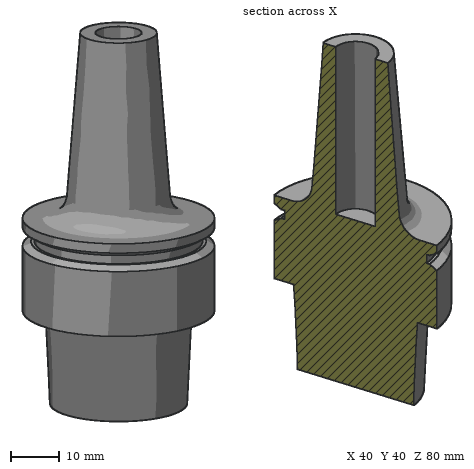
import cadquery as cq
import math

total_height = 80.0
shank_height = 20.0
flange_top_z = 40.0

groove_center_z = 36.0
groove_width = 2.0
mouth_width = 4.0
groove_bottom_z = groove_center_z - groove_width / 2
groove_top_z = groove_center_z + groove_width / 2
collar_edge_z = groove_center_z - mouth_width / 2
flange_edge_z = groove_center_z + mouth_width / 2

shank_bottom_radius = 14.3
shank_top_radius = 15.3
flange_radius = 20.0
groove_radius = 17.5
mouth_inner_radius = 18.2
nose_tip_radius = 8.0
bore_radius = 4.8

bore_depth = 40.0

nose_lean = math.radians(4.5)
blend_radius = 5.0
blend_center_z = flange_top_z + blend_radius
nose_base_z = blend_center_z - blend_radius * math.sin(nose_lean)
nose_base_radius = nose_tip_radius + (total_height - nose_base_z) * math.tan(nose_lean)
blend_center_r = nose_base_radius + blend_radius * math.cos(nose_lean)


def blend_point(angle):
    """Point (radius, height) on the blend arc at an angle from the radial direction."""
    return (
        blend_center_r + blend_radius * math.cos(angle),
        blend_center_z + blend_radius * math.sin(angle),
    )


nose_contact_angle = math.pi + nose_lean
flange_contact_angle = 1.5 * math.pi
blend_start = blend_point(flange_contact_angle)
blend_middle = blend_point((nose_contact_angle + flange_contact_angle) / 2)

body = (
    cq.Workplane("XZ")
    .moveTo(0, 0)
    .lineTo(shank_bottom_radius, 0)
    .lineTo(shank_top_radius, shank_height)
    .lineTo(flange_radius, shank_height)
    .lineTo(flange_radius, collar_edge_z)
    .lineTo(mouth_inner_radius, groove_bottom_z)
    .lineTo(groove_radius, groove_bottom_z)
    .lineTo(groove_radius, groove_top_z)
    .lineTo(mouth_inner_radius, groove_top_z)
    .lineTo(flange_radius, flange_edge_z)
    .lineTo(flange_radius, flange_top_z)
    .lineTo(blend_start[0], flange_top_z)
    .threePointArc(blend_middle, (nose_base_radius, nose_base_z))
    .lineTo(nose_tip_radius, total_height)
    .lineTo(0, total_height)
    .close()
    .revolve(360, (0, 0), (0, 1))
)

bore = (
    cq.Workplane("XY")
    .workplane(offset=total_height - bore_depth)
    .circle(bore_radius)
    .extrude(bore_depth)
)

result = body.cut(bore)